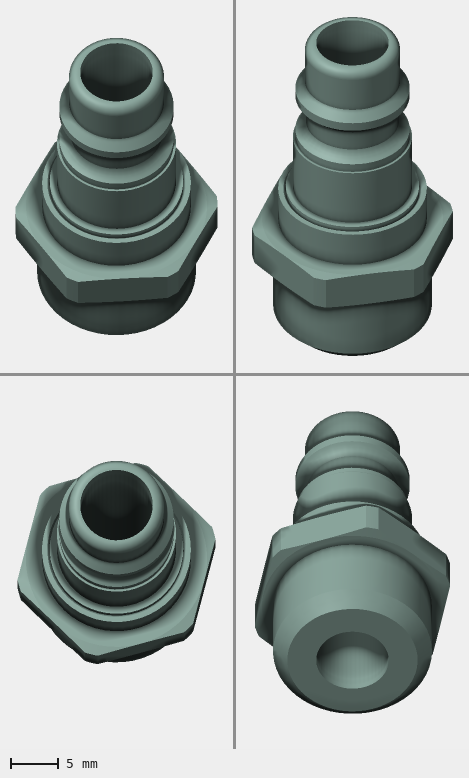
import cadquery as cq
import math

total_height = 36.5
hex_bottom_z = 9.0
hex_height = 4.0
hex_top_z = hex_bottom_z + hex_height
body_height = 4.0
body_top_z = hex_top_z + body_height
step_height = 0.4
step_top_z = body_top_z + step_height
shank_top_z = 24.0
band_height = 1.0
flare_height = 1.1
neck_length = 2.3
shoulder_top_z = shank_top_z + band_height
neck_bottom_z = shoulder_top_z + flare_height
neck_top_z = neck_bottom_z + neck_length
rim_bottom_z = neck_top_z + flare_height
rim_top_z = rim_bottom_z + band_height
rim_cone_height = 1.0

bore_radius = 7.6 / 2
nose_radius = 10.0 / 2
nose_fillet = 1.0
rim_radius = 12.0 / 2
neck_radius = 9.75 / 2
flare_arc_radius = 2.8
shank_radius = 12.5 / 2
step_radius = 14.0 / 2
body_radius = 15.6 / 2
spigot_radius = 16.66 / 2
spigot_chamfer = 1.5

gap_radius = 14.1 / 2
gap_depth = 0.5
gap_chamfer = 0.2

across_flats = 19.0
corner_radius = 21.2 / 2
hex_chamfer_drop = 0.16


def flare_midpoint(start, end):
    """Middle of a concave flare arc, bowed toward the axis from its rising chord."""
    chord_r = end[0] - start[0]
    chord_z = end[1] - start[1]
    chord = math.hypot(chord_r, chord_z)
    sagitta = flare_arc_radius - math.sqrt(flare_arc_radius**2 - (chord / 2) ** 2)
    inward_r = -chord_z / chord
    inward_z = chord_r / chord
    return (
        (start[0] + end[0]) / 2 + sagitta * inward_r,
        (start[1] + end[1]) / 2 + sagitta * inward_z,
    )


def turned_body():
    """Revolved plug profile: spigot, body, shank, locking neck, rim and nose."""
    shoulder = (rim_radius, shoulder_top_z)
    neck_bottom = (neck_radius, neck_bottom_z)
    neck_top = (neck_radius, neck_top_z)
    rim_bottom = (rim_radius, rim_bottom_z)
    fillet_offset = nose_fillet * (1 - math.sqrt(0.5))
    profile = (
        cq.Workplane("XZ")
        .moveTo(bore_radius, 0)
        .lineTo(spigot_radius - spigot_chamfer, 0)
        .lineTo(spigot_radius, spigot_chamfer)
        .lineTo(spigot_radius, hex_top_z)
        .lineTo(body_radius, hex_top_z)
        .lineTo(body_radius, body_top_z)
        .lineTo(gap_radius + gap_chamfer, body_top_z)
        .lineTo(gap_radius, body_top_z - gap_chamfer)
        .lineTo(gap_radius, body_top_z - gap_depth)
        .lineTo(step_radius, body_top_z - gap_depth)
        .lineTo(step_radius, step_top_z)
        .lineTo(shank_radius, step_top_z)
        .lineTo(shank_radius, shank_top_z)
        .lineTo(rim_radius, shank_top_z)
        .lineTo(*shoulder)
        .threePointArc(flare_midpoint(shoulder, neck_bottom), neck_bottom)
        .lineTo(*neck_top)
        .threePointArc(flare_midpoint(neck_top, rim_bottom), rim_bottom)
        .lineTo(rim_radius, rim_top_z)
        .lineTo(nose_radius, rim_top_z + rim_cone_height)
        .lineTo(nose_radius, total_height - nose_fillet)
        .threePointArc(
            (nose_radius - fillet_offset, total_height - fillet_offset),
            (nose_radius - nose_fillet, total_height),
        )
        .lineTo(bore_radius, total_height)
        .close()
    )
    return profile.revolve(360, (0, 0, 0), (0, 1, 0))


def hexagon():
    """Wrench hexagon with cylindrically trimmed corners and shallow conical chamfers on both faces."""
    across_corners = across_flats / math.cos(math.radians(30))
    prism = (
        cq.Workplane("XY", origin=(0, 0, hex_bottom_z))
        .polygon(6, across_corners)
        .extrude(hex_height)
        .rotate((0, 0, 0), (0, 0, 1), 30)
    )
    face_radius = across_flats / 2
    envelope = (
        cq.Workplane("XZ")
        .moveTo(bore_radius, hex_bottom_z)
        .lineTo(face_radius, hex_bottom_z)
        .lineTo(corner_radius, hex_bottom_z + hex_chamfer_drop)
        .lineTo(corner_radius, hex_top_z - hex_chamfer_drop)
        .lineTo(face_radius, hex_top_z)
        .lineTo(bore_radius, hex_top_z)
        .close()
        .revolve(360, (0, 0, 0), (0, 1, 0))
    )
    return prism.intersect(envelope)


result = turned_body().union(hexagon())